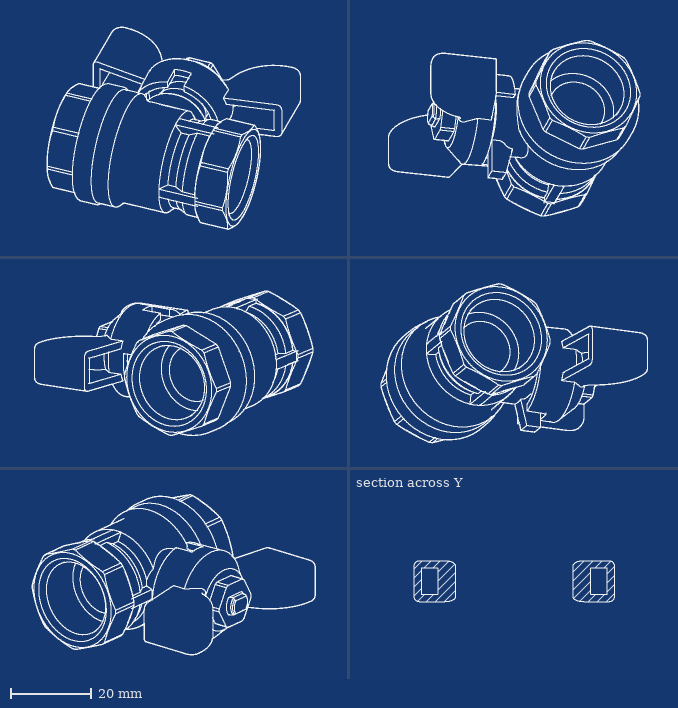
import cadquery as cq
import math


body_half_length = 23.75
body_radius = 13.0
octagon_flats = 25.0
octagon_corner_radius = 13.35
octagon_end_radius = 12.35
octagon_end_chamfer = 0.55
octagon_right_start = 15.4
collar_start = -16.3
collar_end = -11.2
collar_radius = 15.0
collar_round = 0.9
collar_inner_round = 0.45
shoulder_end = -6.7
shoulder_radius = 14.5
shoulder_chamfer = 0.9
shoulder_fillet_end = -4.4
groove_start = 6.2
groove_floor_start = 7.9
groove_floor_end = 10.0
groove_end = 12.1
groove_radius = 11.3
neck_radius = 12.25
rib_top_width = 2.6
rib_base_width = 3.4

bore_radius = 7.1
thread_radius = 9.45
thread_depth = 11.8
mouth_radius = 10.8
mouth_depth = mouth_radius - thread_radius

boss_radius = 8.5
boss_round_start = 14.0
boss_round_radius = 7.55
boss_round_top = 15.9
stem_radius = 6.7
stem_sweep_top = 17.3
stem_shoulder = 19.3
stem_neck_radius = 6.3
tab_width = 4.0
tab_reach = 15.0
tab_outer_y = 15.6

hub_radius = 11.7
skirt_bottom_radius = 11.45
hub_bottom = 15.6
hub_cone_start = 25.0
hub_top = 29.2
hub_top_radius = 8.0
cavity_radius = 9.7
cavity_top = 22.7
window_top = 20.7
notch_width = 4.4

wing_tip_x = 25.015
wing_top = 39.6
wing_half_thickness = 5.15
wing_wall = 1.9
wing_edge_round = 1.4
wing_corner_radius = 2.8
wing_tip_bottom = 23.9
wing_root_bottom = 21.5
wing_root_x = 10.3
wing_inner_x = 3.0
wing_arc_end = (9.0, 30.1)
wing_hub_end = (7.2, 29.0)
wing_inner_top = 28.5

nut_flats = 11.3
nut_corner_radius = 6.3
nut_top = 32.75
stem_end_base_radius = 3.5
stem_end_radius = 2.95
stem_end_cone_top = 33.7
stem_end_top = 34.6
stem_end_chamfer = 0.3
stem_end_flats = 4.7
stem_flat_chamfer = 0.6


def cylinder_x(radius, start, end):
    return cq.Workplane("YZ").workplane(offset=start).circle(radius).extrude(end - start)


def cylinder_y(radius, start, end):
    return cq.Workplane("XZ").workplane(offset=-start).circle(radius).extrude(start - end)


def box(x_range, y_range, z_range):
    size = [high - low for low, high in (x_range, y_range, z_range)]
    corner = (x_range[0], y_range[0], z_range[0])
    return cq.Workplane("XY").box(*size, centered=False).translate(corner)


def revolve_y(profile):
    return profile.close().revolve(360, (0, 0, 0), (0, 1, 0))


def wrench_end(start, end, chamfer_start, chamfer_end):
    """Octagon with its corners turned down and its ends chamfered."""
    circumscribed = octagon_flats / math.cos(math.pi / 8)
    octagon = cq.Workplane("YZ").workplane(offset=start).polygon(8, circumscribed).extrude(end - start)
    profile = cq.Workplane("XY").moveTo(start, 0)
    if chamfer_start:
        profile = profile.lineTo(start, octagon_end_radius)
        profile = profile.lineTo(start + octagon_end_chamfer, octagon_corner_radius)
    else:
        profile = profile.lineTo(start, octagon_corner_radius)
    if chamfer_end:
        profile = profile.lineTo(end - octagon_end_chamfer, octagon_corner_radius)
        profile = profile.lineTo(end, octagon_end_radius)
    else:
        profile = profile.lineTo(end, octagon_corner_radius)
    turned = profile.lineTo(end, 0).close().revolve(360, (0, 0, 0), (1, 0, 0))
    return octagon.intersect(turned)


def make_collar():
    collar = cylinder_x(collar_radius, collar_start, collar_end)
    collar = collar.faces("<X").edges().fillet(collar_round)
    return collar.faces(">X").edges().fillet(collar_inner_round)


def make_barrel():
    """Turned middle of the body, from the collar face to the right wrench end."""
    chamfer_end = shoulder_end + shoulder_chamfer
    chamfer_radius = shoulder_radius - shoulder_chamfer
    return (
        cq.Workplane("XY")
        .moveTo(collar_end, 0)
        .lineTo(collar_end, shoulder_radius)
        .lineTo(shoulder_end, shoulder_radius)
        .lineTo(chamfer_end, chamfer_radius)
        .tangentArcPoint((shoulder_fillet_end, body_radius), relative=False)
        .lineTo(groove_start, body_radius)
        .lineTo(groove_floor_start, groove_radius)
        .lineTo(groove_floor_end, groove_radius)
        .lineTo(groove_end, neck_radius)
        .lineTo(octagon_right_start, neck_radius)
        .lineTo(octagon_right_start, 0)
        .close()
        .revolve(360, (0, 0, 0), (1, 0, 0))
    )


def make_ribs():
    """Four tapered ribs bridging the groove, one on each side of the body."""
    half_taper = (rib_base_width - rib_top_width) / 2 / (body_radius - groove_radius)
    half_top = rib_top_width / 2
    half_axis = half_top + half_taper * body_radius
    rib_length = octagon_right_start + 2 * octagon_end_chamfer - groove_start
    rib = (
        cq.Workplane("YZ")
        .workplane(offset=groove_start)
        .moveTo(-half_axis, 0)
        .lineTo(half_axis, 0)
        .lineTo(half_top, body_radius)
        .lineTo(-half_top, body_radius)
        .close()
        .extrude(rib_length)
    )
    ribs = rib
    for quarter_turn in (90, 180, 270):
        ribs = ribs.union(rib.rotate((0, 0, 0), (1, 0, 0), quarter_turn))
    return ribs


def make_boss():
    return revolve_y(
        cq.Workplane("XY")
        .lineTo(boss_radius, 0)
        .lineTo(boss_radius, boss_round_start)
        .tangentArcPoint((boss_round_radius, boss_round_top), relative=False)
        .tangentArcPoint((stem_radius, stem_sweep_top), relative=False)
        .lineTo(stem_radius, stem_shoulder)
        .lineTo(stem_neck_radius, stem_shoulder)
        .lineTo(stem_neck_radius, hub_top)
        .lineTo(0, hub_top)
    )


def make_stop_tab():
    """Tab reaching towards -Z that limits the swing of the handle."""
    return (
        cq.Workplane("YZ")
        .workplane(offset=-tab_width / 2)
        .moveTo(boss_round_start, 0)
        .lineTo(boss_round_start, -boss_radius)
        .lineTo(tab_outer_y, -tab_reach)
        .lineTo(stem_shoulder, -tab_reach)
        .lineTo(stem_shoulder, 0)
        .close()
        .extrude(tab_width)
    )


def cut_passage(body):
    body = body.cut(cylinder_x(bore_radius, -body_half_length, body_half_length))
    thread = (
        cq.Workplane("XY")
        .moveTo(-body_half_length, 0)
        .lineTo(-body_half_length, mouth_radius)
        .lineTo(-body_half_length + mouth_depth, thread_radius)
        .lineTo(-body_half_length + thread_depth, thread_radius)
        .lineTo(-body_half_length + thread_depth, 0)
        .close()
        .revolve(360, (0, 0, 0), (1, 0, 0))
    )
    return body.cut(thread).cut(thread.mirror("YZ"))


def make_hub():
    return revolve_y(
        cq.Workplane("XY")
        .moveTo(0, hub_bottom)
        .lineTo(skirt_bottom_radius, hub_bottom)
        .lineTo(hub_radius, hub_cone_start)
        .lineTo(hub_top_radius, hub_top)
        .lineTo(0, hub_top)
    )


def cut_skirt(handle):
    """Hollow the hub around the stem and open its skirt for the stop tab."""
    stem_room = cylinder_y(cavity_radius, hub_bottom, cavity_top)
    stem_room = stem_room.cut(cylinder_y(stem_neck_radius, hub_bottom, cavity_top))
    half_notch = notch_width / 2
    skirt = (hub_bottom, window_top)
    notch = box((-half_notch, half_notch), skirt, (0, hub_radius))
    window = box((-hub_radius, half_notch), skirt, (-hub_radius, half_notch))
    return handle.cut(stem_room).cut(notch).cut(window)


def make_wing():
    """Hollow wing on the +X side, open towards the body."""
    slope = (wing_tip_bottom - wing_root_bottom) / (wing_tip_x - wing_root_x)
    inner_bottom = wing_root_bottom - slope * (wing_root_x - wing_inner_x)
    outline = (
        cq.Workplane("XY")
        .moveTo(wing_inner_x, inner_bottom)
        .lineTo(wing_tip_x, wing_tip_bottom)
        .lineTo(wing_tip_x, wing_top - wing_corner_radius)
        .tangentArcPoint((wing_tip_x - wing_corner_radius, wing_top), relative=False)
        .tangentArcPoint(wing_arc_end, relative=False)
        .tangentArcPoint(wing_hub_end, relative=False)
        .lineTo(wing_inner_x, wing_inner_top)
        .close()
    )
    wing = outline.extrude(wing_half_thickness, both=True)
    wing = wing.edges("(<Z or >Z) and (%CIRCLE or (|Y and >X))").fillet(wing_edge_round)
    inset = outline.val().offset2D(-wing_wall)
    hollow = cq.Workplane("XY").newObject(inset).toPending()
    hollow = hollow.extrude(wing_half_thickness - wing_wall, both=True)
    wing = wing.cut(hollow)
    return wing.cut(hollow.translate((0, -1.5 * wing_wall, 0)))


def make_nut():
    across_corners = nut_flats / math.cos(math.pi / 6)
    nut = cq.Workplane("XZ").workplane(offset=-hub_top).polygon(6, across_corners).extrude(hub_top - nut_top)
    return nut.intersect(cylinder_y(nut_corner_radius, hub_top, nut_top))


def make_stem_end():
    """Flared stem end above the nut, with two flats and chamfered rims."""
    end = revolve_y(
        cq.Workplane("XY")
        .moveTo(0, hub_top)
        .lineTo(stem_end_base_radius, hub_top)
        .lineTo(stem_end_base_radius, nut_top)
        .lineTo(stem_end_radius, stem_end_cone_top)
        .lineTo(stem_end_radius, stem_end_top - stem_end_chamfer)
        .lineTo(stem_end_radius - stem_end_chamfer, stem_end_top)
        .lineTo(0, stem_end_top)
    )
    half = stem_end_flats / 2
    flats = (
        cq.Workplane("YZ")
        .workplane(offset=-stem_end_base_radius)
        .moveTo(hub_top, -half)
        .lineTo(stem_end_cone_top, -half)
        .lineTo(stem_end_top, -half + stem_flat_chamfer)
        .lineTo(stem_end_top, half - stem_flat_chamfer)
        .lineTo(stem_end_cone_top, half)
        .lineTo(hub_top, half)
        .close()
        .extrude(2 * stem_end_base_radius)
    )
    return end.intersect(flats)


def make_body():
    body = make_barrel().union(make_collar())
    body = body.union(wrench_end(-body_half_length, collar_start, True, False))
    body = body.union(wrench_end(octagon_right_start, body_half_length, True, True))
    body = body.union(make_ribs()).union(make_boss()).union(make_stop_tab())
    return cut_passage(body)


def make_handle():
    wing = make_wing()
    return cut_skirt(make_hub().union(wing).union(wing.mirror("YZ")))


result = make_body().union(make_handle()).union(make_nut()).union(make_stem_end())